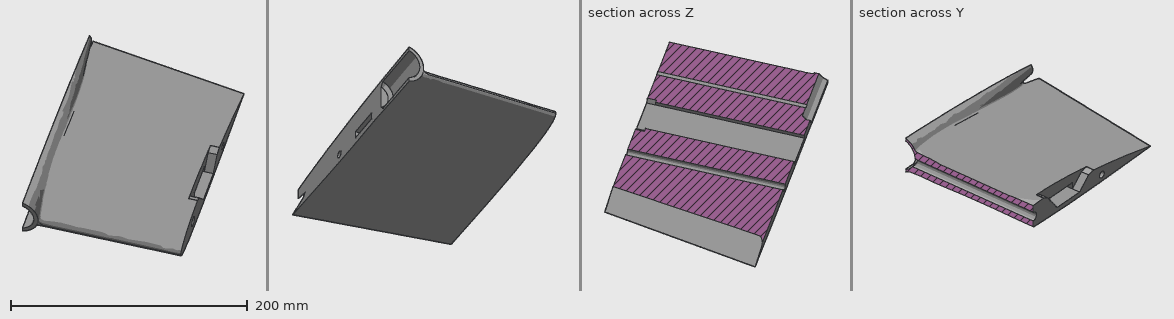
import cadquery as cq
import math


SPAN = 139.0
ROOT_CHORD = 217.29
TIP_CHORD = 195.1
LEADING_EDGE_Z = -5.0
INCIDENCE = 2.55
CAMBER = 0.0195
CAMBER_POSITION = 0.36
THICKNESS = 0.1185

PROFILE_THICKNESS = 0.2
NOSE_TERM = 0.2969
BODY_TERMS = (-0.1260, -0.3516, 0.2843, -0.1015)
SECTION_STEPS = 16

BOOM_AXIS_X = -5.0
BOOM_RADIUS = 18.71
BOOM_MID_RADIUS = 15.4
BOOM_TAIL_RADIUS = 6.9
BOOM_LENGTH = 207.0
BOOM_TAIL_ROUND = 1.0
FAIRING_FILLET = 2.2
CREASE_BOX_LOW = (3, 10, -20)
CREASE_BOX_HIGH = (12, 150, 15)

SOCKET_RADIUS = 15.0
SOCKET_DEPTH = 52.3
SOCKET_OVERRUN = 1.0
SOCKET_CHAMFER_LENGTH = 3.0
SOCKET_CHAMFER_HEIGHT = 3.3

FRONT_HOLE_DIAMETER = 8.45
FRONT_HOLE_Y = 38.2
FRONT_HOLE_Z = -4.1
REAR_HOLE_DIAMETER = 6.35
REAR_HOLE_Y = 130.1
REAR_HOLE_Z = -8.9
SLOT_FRONT_Y = 70.2
SLOT_LENGTH = 30.0
SLOT_BOTTOM_Z = -11.2
SLOT_HEIGHT = 6.35

POCKET_DEPTH = 7.8
POCKET_FRONT_Y = 52.0
POCKET_FRONT_Z = 7.5
FRONT_RAMP_Y = 57.3
FRONT_RAMP_Z = 5.2
REAR_RAMP_Y = 112.2
REAR_RAMP_Z = 0.0
REAR_STEP_Y = 113.3
REAR_STEP_Z = 0.2
REAR_LEDGE_Y = 117.6
REAR_LEDGE_Z = 1.4
POCKET_REAR_Y = 119.2
CLEAR_Z = 30.0


def section_point(fraction, side):
    """Point (y, z) of the unit four-digit section; side is +1 above, -1 below."""
    profile = NOSE_TERM * math.sqrt(fraction)
    for power, term in enumerate(BODY_TERMS, start=1):
        profile += term * fraction**power
    half_thickness = THICKNESS * profile / PROFILE_THICKNESS
    if fraction < CAMBER_POSITION:
        reach = CAMBER_POSITION
        start = 0.0
    else:
        reach = 1 - CAMBER_POSITION
        start = 1 - 2 * CAMBER_POSITION
    camber_line = CAMBER / reach**2 * (start + 2 * CAMBER_POSITION * fraction - fraction**2)
    tilt = fraction * math.tan(math.radians(INCIDENCE))
    return fraction, camber_line + side * half_thickness - tilt


def wing_section(x, chord):
    """Closed wire of the section at span station x."""

    def surface_edge(side):
        points = []
        for i in range(SECTION_STEPS + 1):
            fraction = (1 + math.cos(math.pi * i / SECTION_STEPS)) / 2
            y, z = section_point(fraction, side)
            points.append(cq.Vector(x, chord * y, LEADING_EDGE_Z + chord * z))
        at_trailing_edge = points[1] - points[0]
        at_nose = cq.Vector(0, 0, -side)
        return cq.Edge.makeSpline(points, tangents=[at_trailing_edge, at_nose])

    upper = surface_edge(1)
    lower = surface_edge(-1)
    trailing_edge = cq.Edge.makeLine(lower.startPoint(), upper.startPoint())
    return cq.Wire.assembleEdges([upper, lower, trailing_edge])


def make_wing():
    root = wing_section(0, ROOT_CHORD)
    tip = wing_section(SPAN, TIP_CHORD)
    return cq.Workplane(cq.Solid.makeLoft([root, tip], True))


def make_boom():
    boom = (
        cq.Workplane("XY")
        .lineTo(-BOOM_RADIUS, 0)
        .threePointArc((-BOOM_MID_RADIUS, BOOM_LENGTH / 2), (-BOOM_TAIL_RADIUS, BOOM_LENGTH))
        .lineTo(0, BOOM_LENGTH)
        .close()
        .revolve(360, (0, 0), (0, 1))
        .faces(">Y").edges().fillet(BOOM_TAIL_ROUND)
    )
    return boom.translate((BOOM_AXIS_X, 0, 0))


def make_body():
    """Wing and half boom, blended, flush with the root plane and the front plane."""
    size = 2 * ROOT_CHORD
    outboard = cq.Workplane("XY").box(size, 2 * size, size, centered=(False, True, True))
    aft = cq.Workplane("XY").box(2 * size, size, size, centered=(True, False, True))
    body = make_wing().union(make_boom()).intersect(outboard)
    creases = cq.selectors.BoxSelector(CREASE_BOX_LOW, CREASE_BOX_HIGH)
    return body.edges(creases).fillet(FAIRING_FILLET).intersect(aft)


def make_socket():
    straight_end = SOCKET_DEPTH - SOCKET_CHAMFER_LENGTH
    socket = (
        cq.Workplane("XY")
        .moveTo(0, -SOCKET_OVERRUN)
        .lineTo(SOCKET_RADIUS, -SOCKET_OVERRUN)
        .lineTo(SOCKET_RADIUS, straight_end)
        .lineTo(SOCKET_RADIUS - SOCKET_CHAMFER_HEIGHT, SOCKET_DEPTH)
        .lineTo(0, SOCKET_DEPTH)
        .close()
        .revolve(360, (0, 0), (0, 1))
    )
    return socket.translate((BOOM_AXIS_X, 0, 0))


def make_hole(diameter, y, z):
    return cq.Workplane("YZ").center(y, z).circle(diameter / 2).extrude(SPAN)


def make_slot():
    return (
        cq.Workplane("YZ")
        .center(SLOT_FRONT_Y, SLOT_BOTTOM_Z)
        .rect(SLOT_LENGTH, SLOT_HEIGHT, centered=False)
        .extrude(SPAN)
    )


def make_pocket():
    """Pocket with ramps down to the slot floor, open to the tip face."""
    outline = [
        (POCKET_FRONT_Y, CLEAR_Z),
        (POCKET_FRONT_Y, POCKET_FRONT_Z),
        (FRONT_RAMP_Y, FRONT_RAMP_Z),
        (SLOT_FRONT_Y, SLOT_BOTTOM_Z),
        (SLOT_FRONT_Y + SLOT_LENGTH, SLOT_BOTTOM_Z),
        (REAR_RAMP_Y, REAR_RAMP_Z),
        (REAR_STEP_Y, REAR_STEP_Z),
        (REAR_LEDGE_Y, REAR_LEDGE_Z),
        (POCKET_REAR_Y, REAR_LEDGE_Z),
        (POCKET_REAR_Y, CLEAR_Z),
    ]
    return (
        cq.Workplane("YZ", origin=(SPAN - POCKET_DEPTH, 0, 0))
        .polyline(outline)
        .close()
        .extrude(POCKET_DEPTH)
    )


result = (
    make_body()
    .cut(make_socket())
    .cut(make_slot())
    .cut(make_pocket())
    .cut(make_hole(FRONT_HOLE_DIAMETER, FRONT_HOLE_Y, FRONT_HOLE_Z))
    .cut(make_hole(REAR_HOLE_DIAMETER, REAR_HOLE_Y, REAR_HOLE_Z))
)